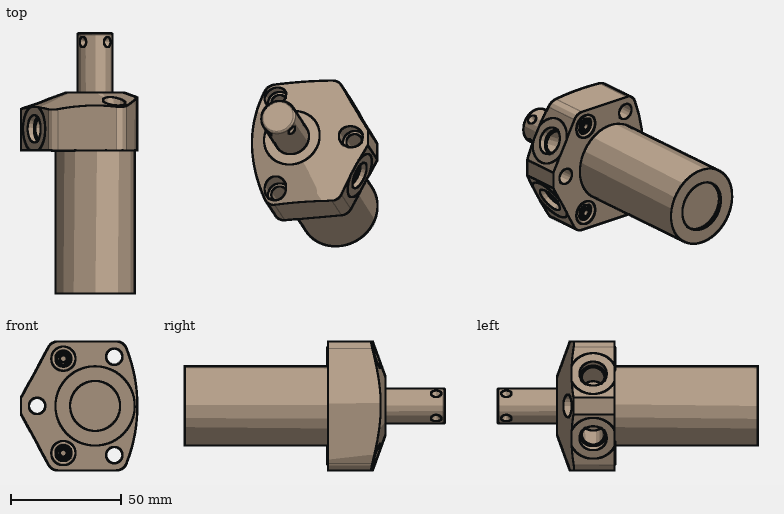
import math

import cadquery as cq


barrel_diameter = 36.0
barrel_length = 65.0
end_recess_diameter = 22.7
end_recess_depth = 1.5

flange_thickness = 26.25
flange_half_height = 29.3
flange_left = -33.6
flange_right = 19.23
left_flat_half_height = 3.85
slant_angle = 28.5
right_face_radius = 71.0
corner_radius = 5.0

cone_top_radius = 13.0
cone_angle = 20.0

rod_diameter = 16.0
overall_length = 118.11
rod_top = overall_length - barrel_length
rod_end_fillet = 0.9
dimple_diameter = 4.7
dimple_depth = dimple_diameter / 2
dimple_from_end = 4.0

left_screw_x = -26.3
right_screw_x = 8.7
right_screw_z = 22.3
screw_positions = [(left_screw_x, 0), (right_screw_x, right_screw_z), (right_screw_x, -right_screw_z)]
screw_hole_diameter = 7.3
screw_head_diameter = 10.3
screw_seat_y = 15.0

port_z = 14.7
port_y = 9.75
port_spotface_diameter = 21.1
port_spotface_depth = 0.1
port_mouth_diameter = 12.4
port_seat_diameter = 11.4
port_seat_depth = 3.0
port_bore_diameter = 10.2
port_bore_start_depth = 3.5
port_depth = 16.7

seal_x = -14.4
seal_z = 21.4
seal_groove_outer_radius = 5.5
seal_post_top_radius = 2.6
seal_post_base_radius = 3.3
seal_groove_depth = 1.4
seal_ring_radius = 4.6
seal_tube_radius = 0.95
seal_protrusion = 0.35
seal_hole_radius = 1.6
seal_hole_depth = 4.0


def disc_along_y(radius, start_y, end_y, x=0.0, z=0.0):
    """Solid cylinder parallel to Y between two Y positions."""
    return cq.Workplane(
        cq.Solid.makeCylinder(radius, end_y - start_y, cq.Vector(x, start_y, z), cq.Vector(0, 1, 0))
    )


def make_flange():
    slant_run = (flange_half_height - left_flat_half_height) * math.tan(math.radians(slant_angle))
    slant_top_x = flange_left + slant_run
    right_sagitta = right_face_radius - math.sqrt(right_face_radius**2 - flange_half_height**2)
    right_top_x = flange_right - right_sagitta

    plate = (
        cq.Workplane("XZ")
        .moveTo(flange_left, -left_flat_half_height)
        .lineTo(slant_top_x, -flange_half_height)
        .lineTo(right_top_x, -flange_half_height)
        .threePointArc((flange_right, 0), (right_top_x, flange_half_height))
        .lineTo(slant_top_x, flange_half_height)
        .lineTo(flange_left, left_flat_half_height)
        .close()
        .extrude(-flange_thickness)
    )
    plate = plate.edges("|Y").edges(">Z or <Z").fillet(corner_radius)

    cone_base_radius = cone_top_radius + flange_thickness / math.tan(math.radians(cone_angle))
    cone = cq.Workplane(
        cq.Solid.makeCone(
            cone_base_radius, cone_top_radius, flange_thickness, cq.Vector(0, 0, 0), cq.Vector(0, 1, 0)
        )
    )
    return plate.intersect(cone)


def make_barrel():
    barrel = disc_along_y(barrel_diameter / 2, -barrel_length, 0)
    recess = disc_along_y(end_recess_diameter / 2, -barrel_length, -barrel_length + end_recess_depth)
    return barrel.cut(recess)


def dimple_cutter(angle):
    """Conical dimple in the rod surface; angle is measured from +X toward +Z."""
    outward = cq.Vector(math.cos(math.radians(angle)), 0, math.sin(math.radians(angle)))
    rod_radius = rod_diameter / 2
    apex = outward * (rod_radius - dimple_depth)
    apex = apex + cq.Vector(0, rod_top - dimple_from_end, 0)
    return cq.Workplane(cq.Solid.makeCone(0, dimple_diameter, 2 * dimple_depth, apex, outward))


def make_rod():
    rod = (
        disc_along_y(rod_diameter / 2, flange_thickness, rod_top)
        .faces(">Y")
        .edges()
        .fillet(rod_end_fillet)
    )
    for angle in (45, 135, 225, 315):
        rod = rod.cut(dimple_cutter(angle))
    return rod


def screw_hole(x, z):
    shank = disc_along_y(screw_hole_diameter / 2, 0, flange_thickness, x, z)
    head = disc_along_y(screw_head_diameter / 2, screw_seat_y, flange_thickness, x, z)
    return shank.union(head)


def port_cutter(side):
    """Stepped bore normal to a sloping side; side is +1 for the +Z side, -1 for the -Z side."""
    slant = math.radians(slant_angle)
    face_x = flange_left + (port_z - left_flat_half_height) * math.tan(slant)
    mouth_radius = port_mouth_diameter / 2
    seat_radius = port_seat_diameter / 2
    bore_radius = port_bore_diameter / 2
    spotface_radius = port_spotface_diameter / 2
    inward = cq.Vector(math.cos(slant), 0, -side * math.sin(slant))
    along_y = cq.Vector(0, 1, 0)
    section_plane = cq.Plane(
        origin=(face_x, port_y, side * port_z),
        xDir=along_y,
        normal=along_y.cross(inward),
    )
    return (
        cq.Workplane(section_plane)
        .polyline([
            (0, 0),
            (spotface_radius, 0),
            (spotface_radius, port_spotface_depth),
            (mouth_radius, port_spotface_depth),
            (seat_radius, port_seat_depth),
            (bore_radius, port_bore_start_depth),
            (bore_radius, port_depth),
            (0, port_depth),
        ])
        .close()
        .revolve(360, (0, 0), (0, 1))
    )


def seal_cutter(z):
    post = cq.Workplane(
        cq.Solid.makeCone(
            seal_post_top_radius,
            seal_post_base_radius,
            seal_groove_depth,
            cq.Vector(seal_x, 0, z),
            cq.Vector(0, 1, 0),
        )
    )
    groove = disc_along_y(seal_groove_outer_radius, 0, seal_groove_depth, seal_x, z).cut(post)
    hole = disc_along_y(seal_hole_radius, 0, seal_hole_depth, seal_x, z)
    return groove.union(hole)


def seal_ring(z):
    center = cq.Vector(seal_x, seal_tube_radius - seal_protrusion, z)
    return cq.Workplane(
        cq.Solid.makeTorus(seal_ring_radius, seal_tube_radius, center, cq.Vector(0, 1, 0))
    )


body = make_flange().union(make_barrel()).union(make_rod())

for hole_x, hole_z in screw_positions:
    body = body.cut(screw_hole(hole_x, hole_z))

for z_side in (1, -1):
    body = body.cut(port_cutter(z_side))
    body = body.cut(seal_cutter(z_side * seal_z))
    body = body.union(seal_ring(z_side * seal_z))

result = body